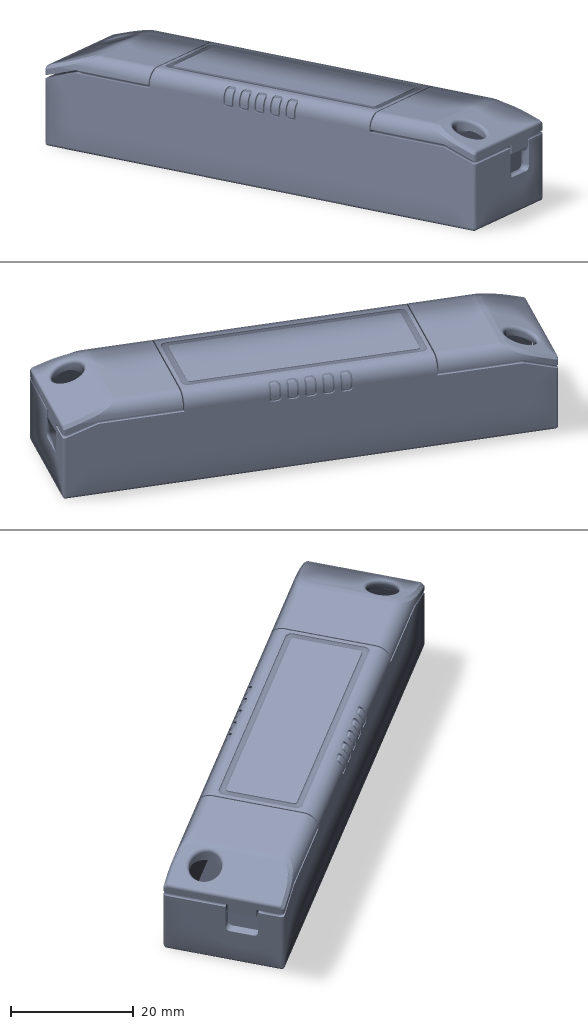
import cadquery as cq
import math

LENGTH = 84.0
WIDTH = 20.5
HEIGHT = 16.5
SHOULDER_RADIUS = 2.5
EDGE_RADIUS = 0.5
SLOPE_ANGLE = 18.0
FLAT_ROOF_LENGTH = 66.6
BEND_CHAMFER = 0.55

WALL = 1.5
RIM_HEIGHT = 13.4
RIM_FLAT_LENGTH = 71.9
DECK_LENGTH = 42.8

COVER_GAP = 0.55
JOINT_GAP = 0.25

NOTCH_OFFSET = 3.1
NOTCH_WIDTH = 5.55
NOTCH_BOTTOM = 6.4
NOTCH_CORNER_RADIUS = 0.8
TAB_WIDTH = 4.9
TAB_BOTTOM = 10.4
TAB_TOP = 12.6

SCREW_X = 37.05
SCREW_Y = 4.45
SCREW_DIAMETER = 5.4
SCREW_EDGE_RADIUS = 0.5

LABEL_LENGTH = 41.6
LABEL_WIDTH = 14.2
LABEL_CORNER_RADIUS = 1.0
GROOVE_WIDTH = 1.1
GROOVE_DEPTH = 0.25
GROOVE_FLOOR_RADIUS = 0.2

GRIP_COUNT = 5
GRIP_PITCH = 3.0
GRIP_WIDTH = 2.0
GRIP_BOTTOM = 12.9
GRIP_TOP = 16.1
GRIP_CORNER_RADIUS = 0.6
GRIP_DEPTH = 0.3
GRIP_GROOVE_WIDTH = 0.3

SLOPE = math.tan(math.radians(SLOPE_ANGLE))


def block(x_min, x_max, width, z_min, z_max):
    """Box between two X and two Z limits, centred on Y."""
    return cq.Workplane("XY").box(x_max - x_min, width, z_max - z_min).translate(
        ((x_min + x_max) / 2, 0, (z_min + z_max) / 2)
    )


def sloped_prism(flat_length, level):
    """Everything below a level surface that falls away past each end of flat_length."""
    reach = LENGTH / 2 + 0.8
    low = level - (reach - flat_length / 2) * SLOPE
    return (
        cq.Workplane("XZ")
        .moveTo(-reach, -0.8)
        .lineTo(reach, -0.8)
        .lineTo(reach, low)
        .lineTo(flat_length / 2, level)
        .lineTo(-flat_length / 2, level)
        .lineTo(-reach, low)
        .close()
        .extrude(WIDTH, both=True)
    )


def rounded_bar(inset):
    """Bar with round shoulders, its top and long sides moved inwards by inset."""
    bar = block(-LENGTH / 2, LENGTH / 2, WIDTH - 2 * inset, 0, HEIGHT - inset)
    return bar.edges("|X and >Z").fillet(SHOULDER_RADIUS - inset)


def make_envelope():
    """Closed outer shape of the assembled case."""
    body = rounded_bar(0).intersect(sloped_prism(FLAT_ROOF_LENGTH, HEIGHT))
    inner_region = cq.selectors.BoxSelector(
        (EDGE_RADIUS - LENGTH / 2, -WIDTH, 0),
        (LENGTH / 2 - EDGE_RADIUS, WIDTH, HEIGHT + EDGE_RADIUS),
    )
    for end in (-1, 1):
        slope_normal = cq.Vector(end * SLOPE, 0, 1)
        slope_face = body.faces(cq.selectors.DirectionMinMaxSelector(slope_normal, True))
        body = slope_face.edges(inner_region).chamfer(BEND_CHAMFER)
    outer_edges = body.faces("<X or >X").edges().add(body.faces("<Z").edges("|X"))
    return outer_edges.fillet(EDGE_RADIUS)


def label_outline(inset):
    """Rounded label rectangle, moved inwards by inset, cutting down from the roof."""
    return (
        cq.Workplane("XY", origin=(0, 0, HEIGHT - GROOVE_DEPTH))
        .rect(LABEL_LENGTH - 2 * inset, LABEL_WIDTH - 2 * inset)
        .extrude(0.8 + GROOVE_DEPTH)
        .edges("|Z")
        .fillet(LABEL_CORNER_RADIUS - inset / 2)
    )


def grip_outline(inset):
    """Upright rounded bar through the -Y shoulder, its outline moved inwards by inset."""
    middle_z = (GRIP_BOTTOM + GRIP_TOP) / 2
    return (
        cq.Workplane("XZ", origin=(0, 0, middle_z))
        .rect(GRIP_WIDTH - 2 * inset, GRIP_TOP - GRIP_BOTTOM - 2 * inset)
        .extrude(WIDTH)
        .edges("|Y")
        .fillet(GRIP_CORNER_RADIUS - inset)
    )


def grip_ring():
    """Cutter for one ring groove in the -Y shoulder; its floor follows the shoulder."""
    ring = grip_outline(0).cut(grip_outline(GRIP_GROOVE_WIDTH))
    return ring.cut(rounded_bar(GRIP_DEPTH))


def cut_grips(body):
    """Rows of grip rings along both shoulders."""
    ring = grip_ring()
    for index in range(GRIP_COUNT):
        offset = (index - (GRIP_COUNT - 1) / 2) * GRIP_PITCH
        front_ring = ring.translate((offset, 0, 0))
        body = body.cut(front_ring).cut(front_ring.mirror("XZ"))
    return body


def notch(end):
    """Cable opening through an end wall, open at the rim; the two ends are a half turn apart."""
    opening = (
        cq.Workplane("XY")
        .box(2 * WALL, NOTCH_WIDTH, HEIGHT - NOTCH_BOTTOM)
        .edges("|X and <Z")
        .fillet(NOTCH_CORNER_RADIUS)
    )
    middle_z = (HEIGHT + NOTCH_BOTTOM) / 2
    return opening.translate((end * LENGTH / 2, end * NOTCH_OFFSET, middle_z))


def make_housing(envelope):
    """Hollow lower case with its own roof over the middle."""
    deck = block(-DECK_LENGTH / 2, DECK_LENGTH / 2, WIDTH, 0, HEIGHT)
    outer = envelope.intersect(sloped_prism(RIM_FLAT_LENGTH, RIM_HEIGHT).union(deck))
    cavity = block(
        WALL - LENGTH / 2, LENGTH / 2 - WALL, WIDTH - 2 * WALL, WALL, RIM_HEIGHT + COVER_GAP
    )
    body = outer.cut(cavity)
    for end in (-1, 1):
        body = body.cut(notch(end))
    groove = label_outline(0).cut(label_outline(GROOVE_WIDTH))
    groove = groove.faces("<Z").edges().fillet(GROOVE_FLOOR_RADIUS)
    return cut_grips(body.cut(groove))


def screw_hole():
    """Upright screw hole through the sloped part of a cover."""
    return (
        cq.Workplane("XY")
        .center(-SCREW_X, SCREW_Y)
        .circle(SCREW_DIAMETER / 2)
        .extrude(2 * HEIGHT)
    )


def make_cover(envelope):
    """Sloped cover for the -X end, with the tab that hangs into the notch."""
    joint_x = -DECK_LENGTH / 2 - JOINT_GAP
    below = sloped_prism(RIM_FLAT_LENGTH, RIM_HEIGHT + COVER_GAP)
    plate = envelope.intersect(block(-LENGTH, joint_x, WIDTH, 0, HEIGHT)).cut(below)
    tab = block(-LENGTH / 2, WALL - LENGTH / 2, TAB_WIDTH, TAB_BOTTOM, TAB_TOP)
    body = plate.union(tab.translate((0, -NOTCH_OFFSET, 0)))
    body = body.cut(screw_hole())
    rim = cq.selectors.BoxSelector(
        (-SCREW_X - SCREW_DIAMETER, SCREW_Y - SCREW_DIAMETER, RIM_HEIGHT + COVER_GAP),
        (-SCREW_X + SCREW_DIAMETER, SCREW_Y + SCREW_DIAMETER, HEIGHT),
    )
    return body.edges("%ELLIPSE").edges(rim).fillet(SCREW_EDGE_RADIUS)


envelope = make_envelope()
housing = make_housing(envelope)
cover = make_cover(envelope)
covers = [cover.rotate((0, 0, 0), (0, 0, 1), angle) for angle in (0, 180)]

result = cq.Compound.makeCompound([housing.val(), *[c.val() for c in covers]])